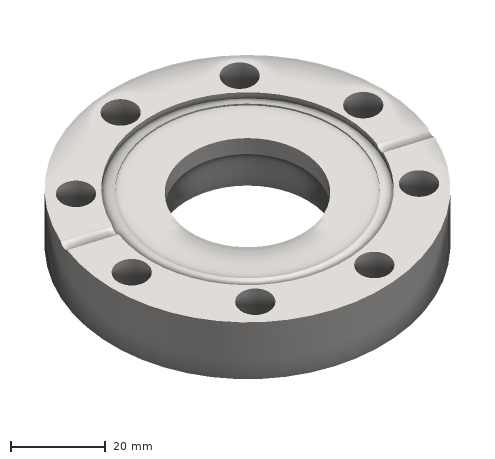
import cadquery as cq

flange_diameter = 85.6
flange_thickness = 15.9
flange_radius = flange_diameter / 2

bore_diameter = 34.9
socket_diameter = 38.35
bore_shoulder_depth = 5.6

recess_diameter = 61.7
knife_diameter = 55.9
recess_depth = 1.7
knife_tip_depth = 0.64
inner_face_depth = 1.1

bolt_count = 8
bolt_hole_diameter = 8.5
bolt_circle_diameter = 72.4
bolt_spacing_angle = 360 / bolt_count

groove_width = 3.3
groove_depth = 0.7
groove_radius = ((groove_width / 2) ** 2 + groove_depth**2) / (2 * groove_depth)


def make_flange_body():
    """Revolve the half section around Z."""
    top = flange_thickness
    shoulder_height = top - bore_shoulder_depth
    half_section = [
        (socket_diameter / 2, 0),
        (flange_radius, 0),
        (flange_radius, top),
        (recess_diameter / 2, top),
        (recess_diameter / 2, top - recess_depth),
        (knife_diameter / 2, top - knife_tip_depth),
        (knife_diameter / 2, top - inner_face_depth),
        (bore_diameter / 2, top - inner_face_depth),
        (bore_diameter / 2, shoulder_height),
        (socket_diameter / 2, shoulder_height),
    ]
    profile = cq.Workplane("XZ").polyline(half_section).close()
    return profile.revolve(360, (0, 0, 0), (0, 1, 0))


def make_bolt_holes():
    """Make one cylinder for each bolt hole."""
    return (
        cq.Workplane("XY")
        .polarArray(bolt_circle_diameter / 2, bolt_spacing_angle / 2, 360, bolt_count)
        .circle(bolt_hole_diameter / 2)
        .extrude(flange_thickness)
    )


def make_leak_groove(direction):
    """Make a round cutter from the recess wall to the rim, toward +Y (1) or -Y (-1)."""
    start = (recess_diameter + knife_diameter) / 4
    axis_height = flange_thickness - groove_depth + groove_radius
    return cq.Workplane(
        cq.Solid.makeCylinder(
            groove_radius,
            flange_radius - start,
            cq.Vector(0, direction * start, axis_height),
            cq.Vector(0, direction, 0),
        )
    )


result = make_flange_body().cut(make_bolt_holes())
for direction in (1, -1):
    result = result.cut(make_leak_groove(direction))